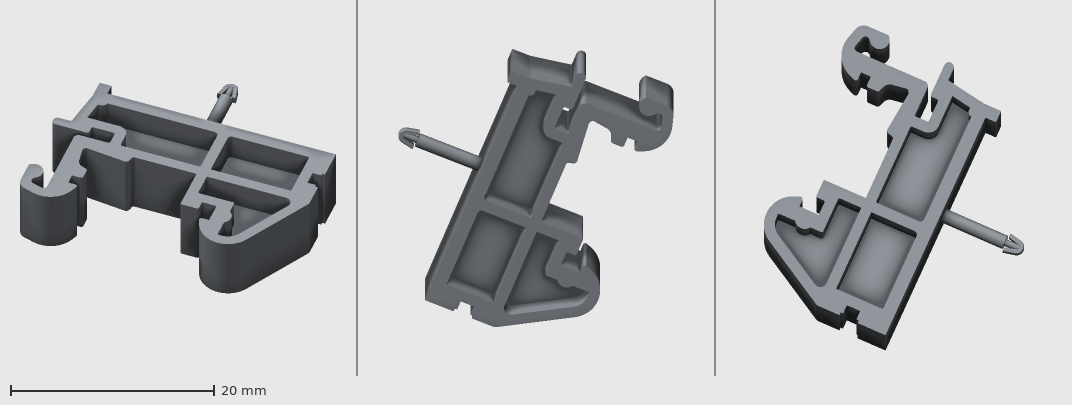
import cadquery as cq
import math

length = 27.72
left_end = 0.0
height = 6.8
total_depth = 24.28
wall = 1.08

beam_top = 15.72
beam_bottom = 8.3
pocket_top = 14.41
post_left = 2.45
post_right = 3.7
post_top = 16.85
post_slope_start = 14.97

finger_top = 10.85
finger_bottom = 9.87
finger_root = 1.75
slot_left = 3.95
slot_right = 6.38
slot_top = 10.78
slot_bottom = 9.3

leg_left = 2.77
leg_inner_top = (4.13, 7.87)
leg_inner_bottom = (4.5, 5.5)
leg_inner_round = 0.83
rail_stop_right = 5.63
rail_stop_top = 5.05
rail_step_foot = (8.98, 7.37)
rail_step_top = 9.18
left_foot_x = 2.6
hook_slope = 16.0
hook_head = (0.75, 3.02)
hook_head_radius = 0.97
hook_crown_angle = 45.0
hook_head_end = -50.0
hook_throat_radius = 0.42

foot_radius = 2.85
notch_top = 3.75
lip_top = 2.7
lip_round = 0.25
left_notch_root = 4.52
lip_lean = 22.0

leg_x = 15.88
toe_right = 17.8
toe_bottom = 3.77
right_notch_top = 4.77
right_notch_root = 19.32
right_foot_x = 21.25
brace_slope = 60.0
brace_corner_radius = 0.55

groove_mid = 11.73
groove_mouth_width = 1.95
groove_width = 1.45
groove_mouth_x = 27.42
groove_floor_x = 26.5

pocket_depth = (height - wall) / 2
left_pocket_foot = 3.02
left_pocket_shoulder = (3.38, 13.95)
left_pocket_step_x = 4.15
foot_pocket_left = 20.82
foot_pocket_round = 0.67
bump_center = (20.3, 3.71)
bump_radius = 0.97

pin_x = 13.67
pin_diameter = 1.4
pin_end = 22.31
core_diameter = 0.7
head_thickness = 0.72
head_base = 22.45
head_half_width = 1.0
head_tip_radius = 0.75
head_inner_top = 23.8
head_inner_half_base = 0.55
head_inner_half_top = 0.22
head_chamfer = 0.08

tiny_round = 0.17
small_round = 0.25
medium_round = 0.4
large_round = 0.5
shortest_line = 2.77e-07


def polar(center, radius, angle):
    """Point at a distance and an angle in degrees from a center."""
    turn = math.radians(angle)
    return (center[0] + radius * math.cos(turn), center[1] + radius * math.sin(turn))


def tangent_corner(center, radius, first_angle, second_angle):
    """Meeting point of the circle's tangents at two angles, with the circle's radius as its rounding."""
    half_span = math.radians(second_angle - first_angle) / 2
    reach = radius / abs(math.cos(half_span))
    return (*polar(center, reach, (first_angle + second_angle) / 2), radius)


def tangent_y(center, radius, angle, x):
    """Y where the circle's tangent at an angle crosses a given X."""
    turn = math.radians(angle)
    return center[1] + (radius - (x - center[0]) * math.cos(turn)) / math.sin(turn)


def tangent_x(center, radius, angle, y):
    """X where the circle's tangent at an angle crosses a given Y."""
    turn = math.radians(angle)
    return center[0] + (radius - (y - center[1]) * math.sin(turn)) / math.cos(turn)


def corner_arc(before, corner, after, radius):
    """Start, middle and end of the arc that rounds one corner."""
    start_dir = math.atan2(before[1] - corner[1], before[0] - corner[0])
    end_dir = math.atan2(after[1] - corner[1], after[0] - corner[0])
    spread = math.remainder(end_dir - start_dir, 2 * math.pi)
    half = abs(spread) / 2
    setback = radius / math.tan(half)
    middle_reach = radius / math.sin(half) - radius
    reaches = (
        (setback, start_dir),
        (middle_reach, start_dir + spread / 2),
        (setback, end_dir),
    )
    return [polar(corner, reach, math.degrees(angle)) for reach, angle in reaches]


def rounded_outline(corners, plane):
    """Closed outline through (x, y) or (x, y, radius) corners."""
    outline = plane
    position = None
    for index, corner in enumerate(corners):
        radius = corner[2] if len(corner) == 3 else 0
        if radius:
            following = corners[(index + 1) % len(corners)]
            start, middle, end = corner_arc(corners[index - 1], corner, following, radius)
        else:
            start = end = corner[:2]
        if position is None:
            outline = outline.moveTo(*start)
        elif math.dist(position, start) > shortest_line:
            outline = outline.lineTo(*start)
        if radius:
            outline = outline.threePointArc(middle, end)
        position = end
    return outline.close()


left_foot = (left_foot_x, foot_radius)
right_foot = (right_foot_x, foot_radius)
left_lip_angle = 360 - lip_lean
right_lip_angle = 180 + lip_lean
hook_angle = 270 - hook_slope
brace_angle = 270 + brace_slope


def beam_end_corners():
    """Right end of the beam with its stepped groove, from top to bottom."""
    mouth = groove_mouth_width / 2
    half = groove_width / 2
    brace_top = tangent_y(right_foot, foot_radius, brace_angle, length)
    return [
        (length, beam_top),
        (length, groove_mid + mouth),
        (groove_mouth_x, groove_mid + mouth),
        (groove_mouth_x, groove_mid + half),
        (groove_floor_x, groove_mid + half),
        (groove_floor_x, groove_mid - half),
        (groove_mouth_x, groove_mid - half),
        (groove_mouth_x, groove_mid - mouth),
        (length, groove_mid - mouth),
        (length, brace_top, brace_corner_radius),
    ]


def right_leg_corners():
    """Right foot, rail notch and toe, from the brace back to the beam."""
    lip_x = tangent_x(right_foot, foot_radius, right_lip_angle, lip_top)
    return [
        tangent_corner(right_foot, foot_radius, brace_angle, right_lip_angle),
        (lip_x, lip_top, lip_round),
        (right_notch_root, lip_top),
        (right_notch_root, right_notch_top),
        (toe_right, right_notch_top, tiny_round),
        (toe_right, toe_bottom, tiny_round),
        (leg_x, toe_bottom, tiny_round),
        (leg_x, beam_bottom),
    ]


def left_leg_corners():
    """Rail side of the left leg, its foot and the hook, ending at the latch slot."""
    lip_x = tangent_x(left_foot, foot_radius, left_lip_angle, lip_top)
    hook_corner_y = tangent_y(left_foot, foot_radius, hook_angle, left_end)
    floor_radius = foot_radius - wall
    floor_y = tangent_y(left_foot, floor_radius, hook_angle, leg_left)
    head_start = math.degrees(math.acos((left_end - hook_head[0]) / hook_head_radius))
    return [
        (rail_step_top, beam_bottom, small_round),
        (*rail_step_foot, medium_round),
        (*leg_inner_top, medium_round),
        (*leg_inner_bottom, leg_inner_round),
        (rail_stop_right, rail_stop_top, small_round),
        (rail_stop_right, notch_top, small_round),
        (left_notch_root, notch_top),
        (left_notch_root, lip_top),
        (lip_x, lip_top, lip_round),
        tangent_corner(left_foot, foot_radius, left_lip_angle, hook_angle),
        (left_end, hook_corner_y, wall),
        polar(hook_head, hook_head_radius, head_start),
        tangent_corner(hook_head, hook_head_radius, head_start, hook_crown_angle),
        tangent_corner(hook_head, hook_head_radius, hook_crown_angle, hook_head_end),
        (*throat_corner(floor_radius), hook_throat_radius),
        (leg_left, floor_y, medium_round),
        (leg_left, slot_bottom, large_round),
    ]


def throat_corner(floor_radius):
    """Corner where the tangent leaving the hook's head meets the hook's floor."""
    head_turn = math.radians(hook_head_end)
    head_slope = -1 / math.tan(head_turn)
    start_x, start_y = polar(hook_head, hook_head_radius, hook_head_end)
    floor_at_zero = tangent_y(left_foot, floor_radius, hook_angle, 0)
    floor_slope = -math.tan(math.radians(hook_slope))
    x = (floor_at_zero - start_y + head_slope * start_x) / (head_slope - floor_slope)
    return x, floor_at_zero + floor_slope * x


def finger_corners():
    """Latch slot, round-ended finger and post on the left end."""
    finger_round = (finger_top - finger_bottom) / 2
    return [
        (slot_right, slot_bottom, tiny_round),
        (slot_right, slot_top, tiny_round),
        (slot_left, slot_top, tiny_round),
        (slot_left, finger_bottom, small_round),
        (left_end, finger_bottom, finger_round),
        (left_end, finger_top, finger_round),
        (finger_root, finger_top, tiny_round),
        (post_left, post_slope_start),
        (post_left, post_top),
        (post_right, post_top),
        (post_right, beam_top),
    ]


def make_body():
    corners = beam_end_corners() + right_leg_corners() + left_leg_corners() + finger_corners()
    return rounded_outline(corners, cq.Workplane("XY")).extrude(height)


def left_pocket_corners():
    left = slot_right + wall
    floor = slot_top + wall
    bottom = beam_bottom + wall
    shoulder_y = left_pocket_shoulder[1]
    return [
        (left_pocket_foot, floor),
        (left, floor, wall),
        (left, bottom, tiny_round),
        (leg_x, bottom, tiny_round),
        (leg_x, pocket_top, medium_round),
        (left_pocket_step_x, pocket_top),
        (left_pocket_step_x, shoulder_y, pocket_top - shoulder_y),
        left_pocket_shoulder,
    ]


def right_pocket_corners():
    left = leg_x + wall
    right = groove_floor_x - wall
    bottom = beam_bottom + wall
    return [
        (left, bottom),
        (right, bottom),
        (right, pocket_top, tiny_round),
        (left, pocket_top, medium_round),
    ]


def foot_pocket_corners():
    left = leg_x + wall
    ledge = right_notch_top + wall
    inner_radius = foot_radius - wall
    brace_x = tangent_x(right_foot, inner_radius, brace_angle, beam_bottom)
    bottom_angle = 270.0
    foot_bottom = right_foot[1] - inner_radius
    return [
        (left, beam_bottom),
        (brace_x, beam_bottom, foot_pocket_round),
        tangent_corner(right_foot, inner_radius, brace_angle, bottom_angle),
        (foot_pocket_left, foot_bottom, tiny_round),
        (foot_pocket_left, ledge, tiny_round),
        (left, ledge, tiny_round),
    ]


def make_pockets(base_z):
    plane = cq.Workplane("XY", origin=(0, 0, base_z))
    bump = plane.center(*bump_center).circle(bump_radius).extrude(pocket_depth)
    pockets = rounded_outline(foot_pocket_corners(), plane).extrude(pocket_depth).cut(bump)
    for corners in (left_pocket_corners(), right_pocket_corners()):
        pockets = pockets.union(rounded_outline(corners, plane).extrude(pocket_depth))
    return pockets


def make_rod(diameter, end_y):
    """Round rod along Y that starts at the top of the beam."""
    plane = cq.Workplane("XZ", origin=(pin_x, beam_top, height / 2))
    return plane.circle(diameter / 2).extrude(beam_top - end_y)


def make_head():
    """Flat arrow head with two barbs."""
    tip_center = (0, total_depth - head_tip_radius)
    drop = tip_center[1] - head_base
    flank = math.degrees(
        math.acos(head_tip_radius / math.hypot(head_half_width, drop)) - math.atan2(drop, head_half_width)
    )
    plane = cq.Workplane("XY", origin=(pin_x, 0, (height - head_thickness) / 2))
    outer_corners = [
        (-head_half_width, head_base),
        (head_half_width, head_base),
        tangent_corner(tip_center, head_tip_radius, flank, 90),
        tangent_corner(tip_center, head_tip_radius, 90, 180 - flank),
    ]
    gap_corners = [
        (-head_inner_half_base, head_base),
        (head_inner_half_base, head_base),
        (head_inner_half_top, head_inner_top),
        (-head_inner_half_top, head_inner_top),
    ]
    head = rounded_outline(outer_corners, plane).extrude(head_thickness)
    head = head.faces("|Z").edges("not(|X)").chamfer(head_chamfer)
    gap = rounded_outline(gap_corners, plane).extrude(head_thickness)
    return head.cut(gap)


result = make_body()
for pocket_base in (0, height - pocket_depth):
    result = result.cut(make_pockets(pocket_base))
result = result.union(make_rod(pin_diameter, pin_end))
result = result.union(make_rod(core_diameter, head_inner_top))
result = result.union(make_head())